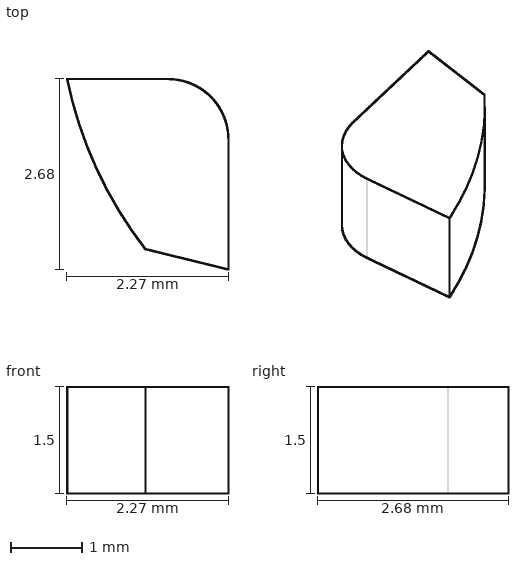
import cadquery as cq
import math

width = 2.27
depth = 2.68
height = 1.5

corner_radius = 0.85
flank_radius = 5.8
slant_width = 1.17
slant_angle = 13.8

left = -width / 2
right = width / 2
front = -depth / 2
back = depth / 2

slant_rise = slant_width * math.tan(math.radians(slant_angle))
tip = (left, back)
slant_start = (right, front)
slant_end = (right - slant_width, front + slant_rise)


def bowed_flank_midpoint(start, end, radius):
    """Middle of the arc from start to end, bulging to the left of the start-to-end chord."""
    dx = end[0] - start[0]
    dy = end[1] - start[1]
    chord = math.hypot(dx, dy)
    sagitta = radius - math.sqrt(radius**2 - (chord / 2) ** 2)
    mid_x = (start[0] + end[0]) / 2
    mid_y = (start[1] + end[1]) / 2
    return (mid_x - sagitta * dy / chord, mid_y + sagitta * dx / chord)


def make_block():
    """Prism with one bowed flank, a slanted end face and square back corner."""
    return (
        cq.Workplane("XY")
        .workplane(offset=-height / 2)
        .moveTo(*tip)
        .lineTo(right, back)
        .lineTo(*slant_start)
        .lineTo(*slant_end)
        .threePointArc(bowed_flank_midpoint(slant_end, tip, flank_radius), tip)
        .close()
        .extrude(height)
    )


def round_back_corner(block):
    """Round the upright edge where the back and right faces meet."""
    corner = cq.selectors.NearestToPointSelector((right, back, 0))
    return block.edges("|Z").edges(corner).fillet(corner_radius)


result = round_back_corner(make_block())